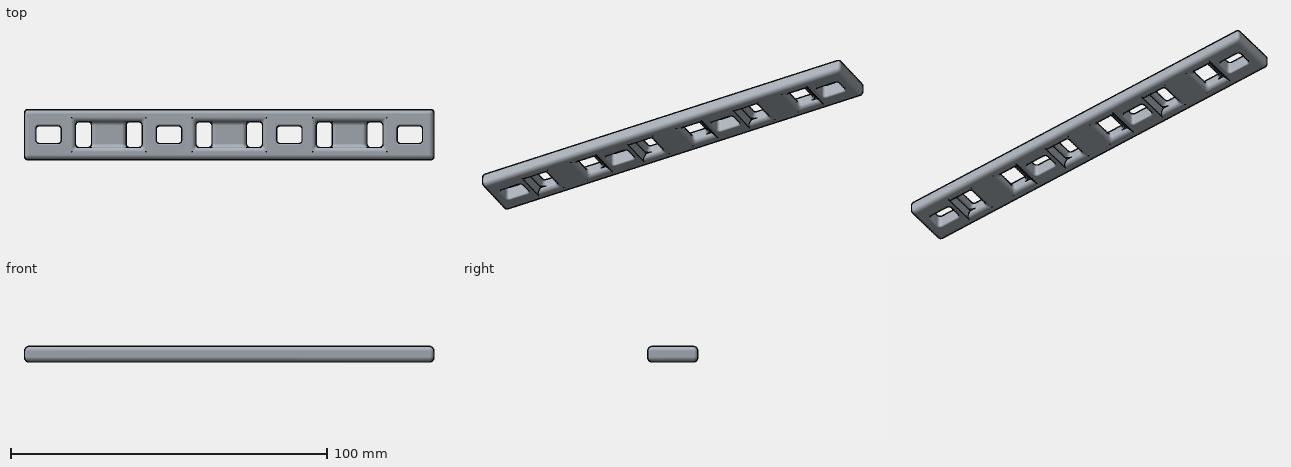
import cadquery as cq
length = 129.4
width = 15.9
height = 5.0
top = height / 2
edge_round = 1.5
corner_round = 1.0

pitch = 38.0
window_count = 3
slot_count = 4

slot_length = 7.9
slot_width = 5.4
slot_corner_round = 0.9
slot_mouth_round = 0.5
slot_draft_angle = 2

window_length = 21.0
window_width = 8.0
window_side_round = 1.4
window_corner_round = 1.0
mouth_width = window_width + 2 * window_side_round

lip_bulge = 1.3
lip_thickness = 3.2
underside_flare = 1.5
mouth_length = window_length + 2 * lip_bulge
lip_bottom = top - lip_thickness

crosspiece_length = 11.0
crosspiece_thickness = 3.0
crosspiece_end_bulge = 1.3
crosspiece_root_round = 1.0
crosspiece_top = crosspiece_thickness - top

pick_margin = 0.1


def row_positions(count):
    """Centres of equally spaced openings along the bar."""
    return [((index - (count - 1) / 2) * pitch, 0, 0) for index in range(count)]


def extrude_across(profile, y_size):
    """Extrude an XZ profile along Y, centred on the bar."""
    return profile.extrude(y_size).translate((0, y_size / 2, 0))


def bar_body():
    """Plain bar with rounded edges and corners."""
    body = cq.Workplane("XY").box(length, width, height)
    body = body.faces("|Z").edges().fillet(edge_round)
    return body.edges("not(|X or |Y)").fillet(corner_round)


def slot_cutter():
    """Slot that widens from mid-height towards both faces of the bar."""
    outline = cq.Sketch().rect(slot_length, slot_width).vertices().fillet(slot_corner_round)
    upper = cq.Workplane("XY").placeSketch(outline).extrude(top, taper=-slot_draft_angle)
    return upper.union(upper.mirror("XY"))


def add_slot(body, position):
    """Cut one slot and round its mouths on both faces."""
    reach = pitch / 4
    x = position[0]
    around_slot = cq.selectors.BoxSelector((x - reach, -slot_width, -height), (x + reach, slot_width, height))
    body = body.cut(slot_cutter().translate(position))
    return body.faces("|Z").edges(around_slot).fillet(slot_mouth_round)


def window_side(side):
    """Material beside a window, with its upper and lower edges rounded."""
    wall = side * window_width / 2
    outside = side * mouth_width / 2
    round_start = top - window_side_round
    profile = (
        cq.Workplane("YZ")
        .moveTo(outside, top)
        .radiusArc((wall, round_start), -side * window_side_round)
        .lineTo(wall, -round_start)
        .radiusArc((outside, -top), -side * window_side_round)
        .close()
    )
    return profile.extrude(length).translate((-length / 2, 0, 0))


def window_lip(side):
    """Lip at one window end, flush with the top and bulging inwards as half an ellipse."""
    start_height = top if side > 0 else lip_bottom
    start_angle = 90 * side
    profile = (
        cq.Workplane("XZ")
        .moveTo(side * mouth_length / 2, start_height)
        .ellipseArc(lip_bulge, lip_thickness / 2, start_angle, start_angle + 180, sense=1)
        .close()
    )
    return extrude_across(profile, width)


def window_upper():
    """Opening between the two lips, with blended corners."""
    upper = cq.Workplane("XY").box(mouth_length, mouth_width, lip_thickness)
    upper = upper.translate((0, 0, top - lip_thickness / 2))
    for side in (-1, 1):
        upper = upper.cut(window_side(side)).cut(window_lip(side))
    return upper.edges("not(|X or |Y)").fillet(window_corner_round)


def window_lower():
    """Opening below the lips, lengthening towards the underside."""
    half_length = mouth_length / 2
    flared_half_length = half_length + underside_flare
    profile = cq.Workplane("XZ").polyline(
        [
            (-half_length, lip_bottom),
            (half_length, lip_bottom),
            (flared_half_length, -top),
            (-flared_half_length, -top),
        ]
    ).close()
    lower = extrude_across(profile, mouth_width)
    for side in (-1, 1):
        lower = lower.cut(window_side(side))
    return lower


def crosspiece():
    """Flat-topped bar across a window, with half-elliptical ends."""
    half_flat = crosspiece_length / 2 - crosspiece_end_bulge
    half_thickness = crosspiece_thickness / 2
    profile = (
        cq.Workplane("XZ")
        .moveTo(-half_flat, -top)
        .lineTo(half_flat, -top)
        .ellipseArc(crosspiece_end_bulge, half_thickness, -90, 90, sense=1)
        .lineTo(-half_flat, crosspiece_top)
        .ellipseArc(crosspiece_end_bulge, half_thickness, 90, 270, sense=1)
        .close()
    )
    return extrude_across(profile, mouth_width)


def window_cutter():
    """Whole window opening around its crosspiece, which blends into both side walls."""
    opening = window_upper().union(window_lower()).cut(crosspiece())
    reach = crosspiece_length / 2
    for side in (-1, 1):
        root = cq.selectors.BoxSelector(
            (-reach, side * (window_width / 2 - pick_margin), pick_margin - top),
            (reach, side * (mouth_width / 2 - pick_margin), crosspiece_top + pick_margin),
        )
        opening = opening.edges(root).fillet(crosspiece_root_round)
    return opening


result = bar_body()
for slot_position in row_positions(slot_count):
    result = add_slot(result, slot_position)

cutter = window_cutter()
for window_position in row_positions(window_count):
    result = result.cut(cutter.translate(window_position))